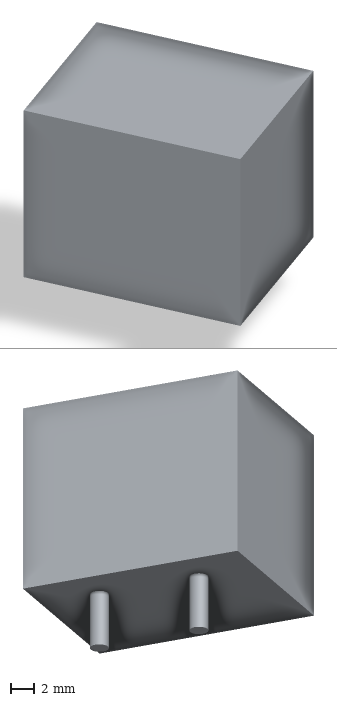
import cadquery as cq

overall_height = 22.05
housing_length = 20.5
housing_width = 16.0
housing_height = 17.0

pin_diameter = 1.65
pin_length = overall_height - housing_height
pin_spacing = 9.5
pin_row_y = 4.05


def make_housing():
    """Plain block resting on the plane Z = 0."""
    return cq.Workplane("XY").box(
        housing_length, housing_width, housing_height, centered=(True, True, False)
    )


def make_pin(x):
    """Round pin hanging from the underside of the housing."""
    return cq.Workplane("XY").center(x, pin_row_y).circle(pin_diameter / 2).extrude(-pin_length)


housing = make_housing()
pins = [make_pin(side * pin_spacing / 2) for side in (-1, 1)]

result = cq.Compound.makeCompound([housing.val(), *[pin.val() for pin in pins]])